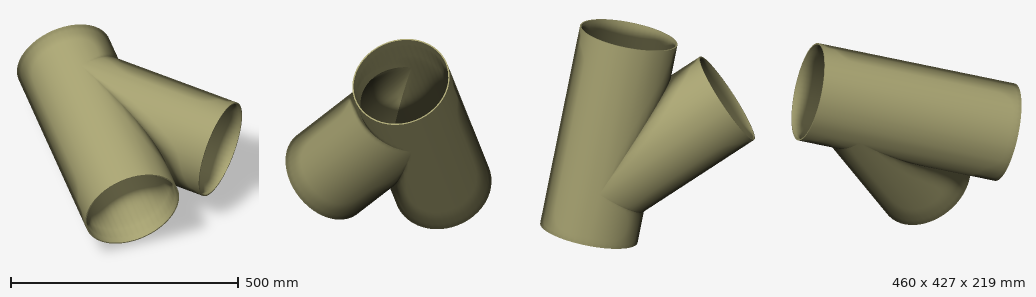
import cadquery as cq
import math

run_length = 460.0
outer_diameter = 219.0
bore_diameter = 213.0
branch_angle = 45.0
branch_length = 339.5
inlet_length = 120.0

angle = math.radians(branch_angle)
crossing = cq.Vector(0, 0, 0)
run_axis = cq.Vector(1, 0, 0)
branch_axis = cq.Vector(math.cos(angle), math.sin(angle), 0)
inlet_center = crossing - run_axis * inlet_length


def cylinder(diameter, length, start, axis):
    """Solid cylinder that begins at a point and follows an axis."""
    return cq.Workplane(cq.Solid.makeCylinder(diameter / 2, length, start, axis))


def solid_wye(diameter):
    """Run and slanted branch of one diameter, joined into a solid Y."""
    run = cylinder(diameter, run_length, inlet_center, run_axis)
    branch = cylinder(diameter, branch_length, crossing, branch_axis)
    return run.union(branch)


result = solid_wye(outer_diameter).cut(solid_wye(bore_diameter))